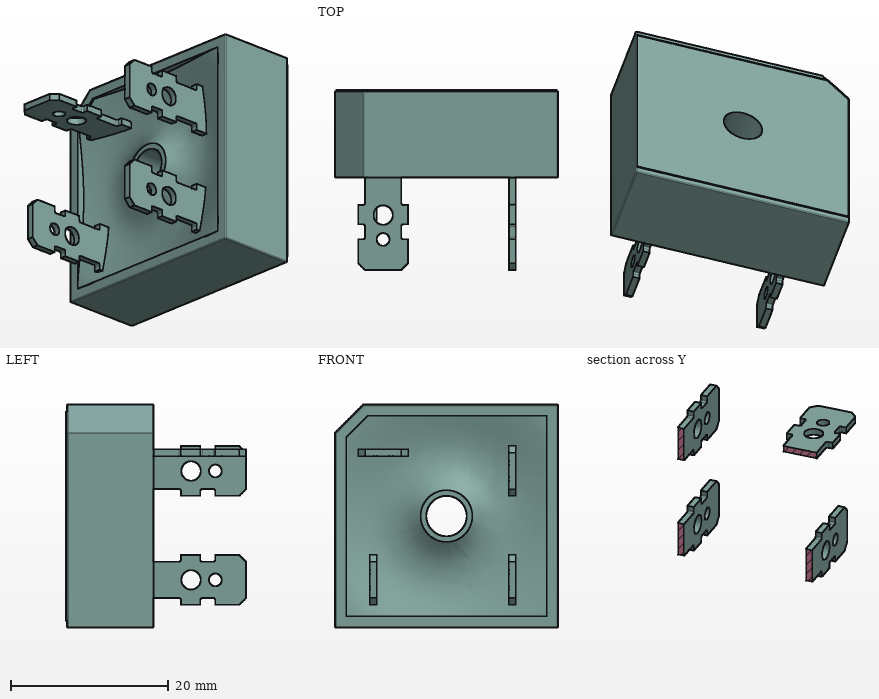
import cadquery as cq
import math

SIDE = 28.4
CASE_DEPTH = 11.02
CORNER_CUT = 3.6
EDGE_ROUND = 0.15

PLATE_INSET = 0.9
PLATE_HEIGHT = 0.15

RIM_WIDTH = 1.42
BOSS_RADIUS = 3.3
BOLT_HOLE_RADIUS = 2.55
DISH_RADIUS = 8.25
DISH_DEPTH = 1.93
DISH_SLOPE_RADIUS = 13.92
DISH_SLOPE_DEPTH = 0.77

BLADE_LENGTH = 11.8
BLADE_WIDTH = 6.35
BLADE_THICKNESS = 0.88
NECK_WIDTH = 4.63
TIP_CHAMFER = 0.88
NOTCH_ROUND = 0.23
SHOULDER_START = 3.46
SHOULDER_END = 5.95
HEAD_START = 7.85
FOOT_START = -0.15
FOOT_END = -3.4
LARGE_HOLE_POSITION = 4.77
LARGE_HOLE_RADIUS = 1.22
SMALL_HOLE_POSITION = 7.87
SMALL_HOLE_RADIUS = 0.8

BLADE_PLACES = [
    (-8.07, 8.07, 0),
    (8.38, 5.75, 90),
    (8.38, -8.12, 90),
    (-9.32, -8.12, 90),
]


def cut_corner_prism(inset, y_start, y_end):
    """Case outline moved inwards by inset and extruded along Y."""
    half = SIDE / 2 - inset
    cut = CORNER_CUT - inset * (2 - math.sqrt(2))
    outline = [
        (-half, -half),
        (half, -half),
        (half, half),
        (cut - half, half),
        (-half, half - cut),
    ]
    plane = cq.Workplane("XZ", origin=(0, y_start, 0))
    return plane.polyline(outline).close().extrude(y_start - y_end)


def make_case():
    case = cut_corner_prism(0, 0, CASE_DEPTH).edges().fillet(EDGE_ROUND)
    plate_back = CASE_DEPTH + PLATE_HEIGHT
    plate_band = cq.Workplane("XY").box(SIDE, 2 * plate_back, SIDE - 2 * PLATE_INSET)
    plate = cut_corner_prism(EDGE_ROUND, CASE_DEPTH - EDGE_ROUND, plate_back).intersect(plate_band)
    return case.union(plate)


def make_recess():
    """Dished ring between the boss and the rim, deepest around the boss."""
    outer_radius = (SIDE / 2 - RIM_WIDTH) * math.sqrt(2)
    dish = (
        cq.Workplane("XY")
        .moveTo(BOSS_RADIUS, 0)
        .spline(
            [(DISH_RADIUS, DISH_DEPTH), (DISH_SLOPE_RADIUS, DISH_SLOPE_DEPTH), (outer_radius, 0)],
            includeCurrent=True,
        )
        .close()
        .revolve(360, (0, 0, 0), (0, 1, 0))
    )
    return dish.intersect(cut_corner_prism(RIM_WIDTH, 0, CASE_DEPTH))


def make_blade():
    """One blade lying in the XY plane, pointing along -Y, with its foot in the case."""
    strip_length = BLADE_LENGTH - FOOT_END
    blade = (
        cq.Workplane("XY")
        .center(0, -(BLADE_LENGTH + FOOT_END) / 2)
        .box(BLADE_WIDTH, strip_length, BLADE_THICKNESS)
        .edges("|Z and <Y")
        .chamfer(TIP_CHAMFER)
    )
    notch_depth = (BLADE_WIDTH - NECK_WIDTH) / 2
    for start, end in [(FOOT_START, SHOULDER_START), (SHOULDER_END, HEAD_START)]:
        for side in (-1, 1):
            notch = (
                cq.Workplane("XY")
                .center(side * (NECK_WIDTH / 2 + notch_depth), -(start + end) / 2)
                .box(2 * notch_depth, end - start, BLADE_THICKNESS)
                .edges("|Z")
                .fillet(NOTCH_ROUND)
            )
            blade = blade.cut(notch)
    for position, radius in [
        (LARGE_HOLE_POSITION, LARGE_HOLE_RADIUS),
        (SMALL_HOLE_POSITION, SMALL_HOLE_RADIUS),
    ]:
        bottom = cq.Workplane("XY", origin=(0, -position, -BLADE_THICKNESS / 2))
        hole = bottom.circle(radius).extrude(BLADE_THICKNESS)
        blade = blade.cut(hole)
    return blade


result = make_case().cut(make_recess())

bolt_hole = cq.Workplane("XZ").circle(BOLT_HOLE_RADIUS).extrude(-(CASE_DEPTH + PLATE_HEIGHT))
result = result.cut(bolt_hole)

for x, z, turn in BLADE_PLACES:
    blade = make_blade().rotate((0, 0, 0), (0, 1, 0), turn).translate((x, 0, z))
    result = result.union(blade)